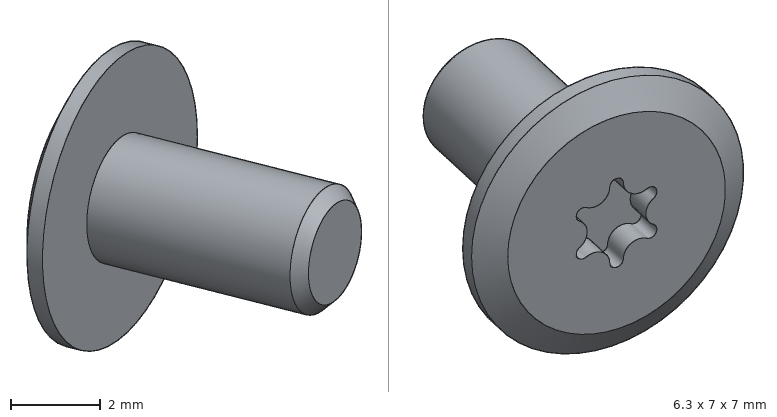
import cadquery as cq
import math

total_length = 6.3
head_diameter = 7.0
head_thickness = 0.8
head_face_diameter = 5.6
rim_thickness = 0.4
shank_diameter = 3.0
tip_chamfer = 0.3

lobe_count = 6
recess_tip_radius = 1.17
recess_valley_radius = 0.755
lobe_radius = 0.175
recess_depth = 0.7


def polar(radius, angle):
    """Point at a radius and an angle in degrees from the vertical."""
    radians = math.radians(angle)
    return (radius * math.sin(radians), radius * math.cos(radians))


def make_body():
    """Head and shank revolved about X from one half profile."""
    head_radius = head_diameter / 2
    shank_radius = shank_diameter / 2
    profile = (
        cq.Workplane("XY")
        .lineTo(0, head_face_diameter / 2)
        .lineTo(head_thickness - rim_thickness, head_radius)
        .lineTo(head_thickness, head_radius)
        .lineTo(head_thickness, shank_radius)
        .lineTo(total_length - tip_chamfer, shank_radius)
        .lineTo(total_length, shank_radius - tip_chamfer)
        .lineTo(total_length, 0)
        .close()
    )
    return profile.revolve(360, (0, 0, 0), (1, 0, 0))


def make_recess():
    """Lobe tips and concave valleys joined as tangent arcs."""
    pitch = 360 / lobe_count
    half_pitch = math.radians(pitch / 2)
    lobe_center = recess_tip_radius - lobe_radius

    axial_gap = recess_valley_radius - lobe_center * math.cos(half_pitch)
    side_gap = lobe_center * math.sin(half_pitch)
    valley_radius = (axial_gap**2 + side_gap**2 - lobe_radius**2) / (2 * (lobe_radius - axial_gap))
    valley_center = recess_valley_radius + valley_radius

    share = lobe_radius / (lobe_radius + valley_radius)
    valley_x, valley_y = polar(valley_center, pitch / 2)
    joint_x = share * valley_x
    joint_y = lobe_center + share * (valley_y - lobe_center)
    joint_radius = math.hypot(joint_x, joint_y)
    joint_angle = math.degrees(math.atan2(joint_x, joint_y))

    outline = cq.Workplane("YZ").moveTo(*polar(joint_radius, -joint_angle))
    for index in range(lobe_count):
        lobe_angle = index * pitch
        outline = outline.threePointArc(
            polar(recess_tip_radius, lobe_angle),
            polar(joint_radius, lobe_angle + joint_angle),
        )
        outline = outline.threePointArc(
            polar(recess_valley_radius, lobe_angle + pitch / 2),
            polar(joint_radius, lobe_angle + pitch - joint_angle),
        )
    return outline.close().extrude(recess_depth)


result = make_body().cut(make_recess())